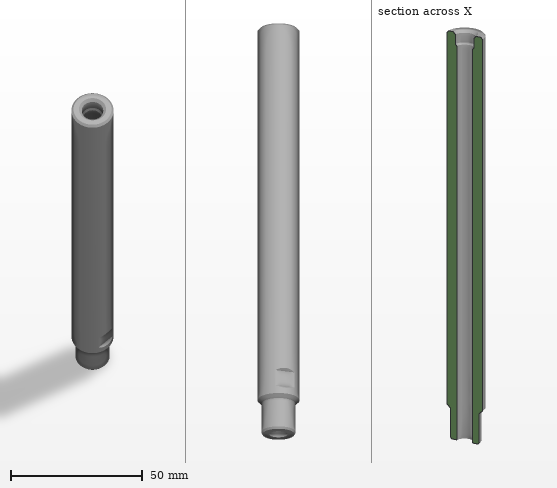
import cadquery as cq

length = 163.5
body_radius = 16.0 / 2
top_chamfer = 0.8

spigot_radius = 13.0 / 2
shoulder_z = 13.7
shoulder_height = body_radius - spigot_radius
spigot_chamfer_width = 0.5
spigot_chamfer_height = 0.8

bore_radius = 6.9 / 2
socket_radius = 8.2 / 2
socket_depth = 4.9
seat_height = socket_radius - bore_radius
mouth_radius = 10.3 / 2
mouth_depth = mouth_radius - socket_radius

across_flats = 14.0
flat_bottom_z = 17.0
flat_top_z = 23.0


def make_shaft():
    """Revolve the outer outline about the Z axis."""
    outline = [
        (0, 0),
        (spigot_radius - spigot_chamfer_width, 0),
        (spigot_radius, spigot_chamfer_height),
        (spigot_radius, shoulder_z - shoulder_height),
        (body_radius, shoulder_z),
        (body_radius, length - top_chamfer),
        (body_radius - top_chamfer, length),
        (0, length),
    ]
    return cq.Workplane("XZ").polyline(outline).close().revolve(360, (0, 0), (0, 1))


def make_bore():
    """Revolve the through bore, seat, socket and countersunk mouth."""
    socket_floor_z = length - socket_depth
    outline = [
        (0, 0),
        (bore_radius, 0),
        (bore_radius, socket_floor_z - seat_height),
        (socket_radius, socket_floor_z),
        (socket_radius, length - mouth_depth),
        (mouth_radius, length),
        (0, length),
    ]
    return cq.Workplane("XZ").polyline(outline).close().revolve(360, (0, 0), (0, 1))


def make_flat_cutter(side):
    """Make a notch with 45 degree ends on one X side (+1 or -1) of the body."""
    floor_x = across_flats / 2
    flare = body_radius - floor_x
    outline = [
        (side * floor_x, flat_bottom_z),
        (side * body_radius, flat_bottom_z - flare),
        (side * body_radius, flat_top_z + flare),
        (side * floor_x, flat_top_z),
    ]
    return cq.Workplane("XZ").polyline(outline).close().extrude(body_radius, both=True)


result = make_shaft().cut(make_bore())
for side in (-1, 1):
    result = result.cut(make_flat_cutter(side))